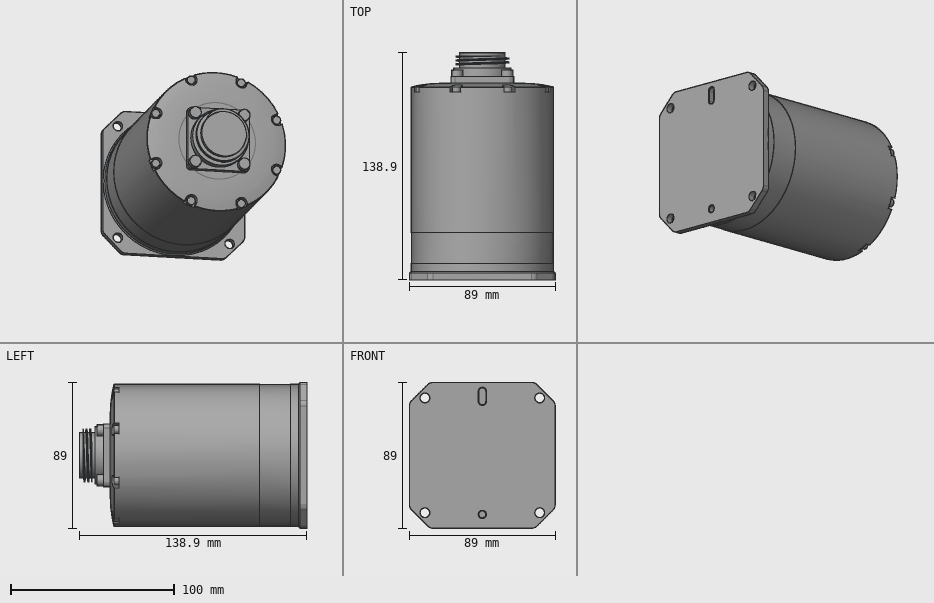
import cadquery as cq
OVERALL_LENGTH = 138.85

FLANGE_SIDE = 89.0
FLANGE_THICKNESS = 4.5
CORNER_CHAMFER = 12.5
CORNER_RADIUS = 4.5
BOLT_SPACING = 70.0
BOLT_HOLE_DIAMETER = 5.8

LOCATOR_OFFSET = 36.0
LOCATOR_WIDTH = 4.2
SLOT_LENGTH = 10.3
LOCATOR_DEPTH = 4.0
LOCATOR_CHAMFER = 0.4

BODY_RADIUS = 43.5
BASE_BEVEL = 0.8
RECESS_DEPTH = 0.2
RECESS_START = 10.3
RECESS_END = 29.0

CAP_RIM_Y = 117.6
CAP_RIM_CHAMFER = 0.3
CAP_DOME_MID_RADIUS = 38.3
CAP_DOME_MID_Y = 118.95
CAP_FLAT_RADIUS = 24.0
CAP_TOP_Y = 120.1

CAP_SCREW_COUNT = 8
CAP_SCREW_CIRCLE_RADIUS = 41.0
CAP_POCKET_WIDTH = 7.0
CAP_POCKET_FLOOR_Y = 114.8
CAP_SCREW_HEAD_DIAMETER = 5.0
CAP_SCREW_HEAD_HEIGHT = 3.0

CONNECTOR_SIDE = 38.4
CONNECTOR_PLATE_THICKNESS = 4.0
CONNECTOR_CORNER_RADIUS = 2.4
CONNECTOR_SCREW_SPACING = 30.6
CONNECTOR_HEAD_DIAMETER = 7.0
CONNECTOR_HEAD_HEIGHT = 4.0
SHOULDER_DIAMETER = 35.0
SHOULDER_HEIGHT = 5.3
BARREL_RADIUS = 13.95

THREAD_RADIUS = 16.2
THREAD_PITCH = 2.35
THREAD_TURNS = 3.25
THREAD_TIP_GAP = 2.1
THREAD_LENGTH = 5.6
THREAD_LEAD_OUT = 1.95
THREAD_ROOT_WIDTH = 1.1
THREAD_CREST_WIDTH = 0.6
THREAD_OVERLAP = 0.3

CONNECTOR_PLATE_TOP_Y = CAP_TOP_Y + CONNECTOR_PLATE_THICKNESS


def plane_at(y):
    """XZ plane at the given Y with its normal along +Y and local y along -Z."""
    return cq.Workplane(cq.Plane(origin=(0, y, 0), xDir=(1, 0, 0), normal=(0, 1, 0)))


def cylinder(radius, start_y, end_y, x=0.0, z=0.0):
    """Cylinder along Y."""
    return plane_at(start_y).center(x, -z).circle(radius).extrude(end_y - start_y)


def mounting_flange():
    flange = plane_at(0).rect(FLANGE_SIDE, FLANGE_SIDE).extrude(FLANGE_THICKNESS)
    flange = flange.edges("|Y").chamfer(CORNER_CHAMFER)
    flange = flange.edges("|Y").fillet(CORNER_RADIUS)
    holes = (
        plane_at(0)
        .rect(BOLT_SPACING, BOLT_SPACING, forConstruction=True)
        .vertices()
        .circle(BOLT_HOLE_DIAMETER / 2)
        .extrude(FLANGE_THICKNESS)
    )
    return flange.cut(holes)


def housing():
    recess_radius = BODY_RADIUS - RECESS_DEPTH
    return (
        cq.Workplane("XY")
        .lineTo(BODY_RADIUS, 0)
        .lineTo(BODY_RADIUS + BASE_BEVEL, FLANGE_THICKNESS)
        .lineTo(BODY_RADIUS, FLANGE_THICKNESS + BASE_BEVEL)
        .lineTo(BODY_RADIUS, RECESS_START)
        .lineTo(recess_radius, RECESS_START)
        .lineTo(recess_radius, RECESS_END)
        .lineTo(BODY_RADIUS, RECESS_END)
        .lineTo(BODY_RADIUS, CAP_RIM_Y)
        .lineTo(BODY_RADIUS - CAP_RIM_CHAMFER, CAP_RIM_Y + CAP_RIM_CHAMFER)
        .threePointArc((CAP_DOME_MID_RADIUS, CAP_DOME_MID_Y), (CAP_FLAT_RADIUS, CAP_TOP_Y))
        .lineTo(0, CAP_TOP_Y)
        .close()
        .revolve(360, (0, 0, 0), (0, 1, 0))
    )


def cap_pocket():
    """Cutter for one U-shaped screw pocket, round inside and open outward along +X."""
    depth = CAP_TOP_Y - CAP_POCKET_FLOOR_Y
    slot_length = BODY_RADIUS - CAP_SCREW_CIRCLE_RADIUS + CAP_POCKET_WIDTH
    mouth = (
        plane_at(CAP_POCKET_FLOOR_Y)
        .center(CAP_SCREW_CIRCLE_RADIUS + slot_length / 2, 0)
        .rect(slot_length, CAP_POCKET_WIDTH)
        .extrude(depth)
    )
    return mouth.union(cylinder(CAP_POCKET_WIDTH / 2, CAP_POCKET_FLOOR_Y, CAP_TOP_Y, CAP_SCREW_CIRCLE_RADIUS))


def add_cap_screws(part):
    pocket = cap_pocket()
    head_top_y = CAP_POCKET_FLOOR_Y + CAP_SCREW_HEAD_HEIGHT
    head = cylinder(CAP_SCREW_HEAD_DIAMETER / 2, CAP_POCKET_FLOOR_Y, head_top_y, CAP_SCREW_CIRCLE_RADIUS)
    for index in range(CAP_SCREW_COUNT):
        angle = 360 * (index + 0.5) / CAP_SCREW_COUNT
        part = part.cut(pocket.rotate((0, 0, 0), (0, 1, 0), angle))
        part = part.union(head.rotate((0, 0, 0), (0, 1, 0), angle))
    return part


def coupling_thread():
    """Right-handed helical rib, built along Z from its base and turned onto the barrel."""
    height = THREAD_PITCH * THREAD_TURNS
    root_radius = BARREL_RADIUS - THREAD_OVERLAP
    path = cq.Workplane(cq.Wire.makeHelix(THREAD_PITCH, height, BARREL_RADIUS))
    section = [
        (root_radius, -THREAD_ROOT_WIDTH / 2),
        (THREAD_RADIUS, -THREAD_CREST_WIDTH / 2),
        (THREAD_RADIUS, THREAD_CREST_WIDTH / 2),
        (root_radius, THREAD_ROOT_WIDTH / 2),
    ]
    rib = cq.Workplane("XZ").polyline(section).close().sweep(path, isFrenet=True)
    end_y = OVERALL_LENGTH - THREAD_TIP_GAP
    rib = rib.rotate((0, 0, 0), (0, 0, 1), 90).rotate((0, 0, 0), (1, 0, 0), -90)
    rib = rib.translate((0, end_y + THREAD_LEAD_OUT - height, 0))
    return rib.intersect(cylinder(SHOULDER_DIAMETER / 2, end_y - THREAD_LENGTH, end_y))


def connector():
    plate = plane_at(CAP_TOP_Y).rect(CONNECTOR_SIDE, CONNECTOR_SIDE).extrude(CONNECTOR_PLATE_THICKNESS)
    plate = plate.edges("|Y").fillet(CONNECTOR_CORNER_RADIUS)
    heads = (
        plane_at(CONNECTOR_PLATE_TOP_Y)
        .rect(CONNECTOR_SCREW_SPACING, CONNECTOR_SCREW_SPACING, forConstruction=True)
        .vertices()
        .circle(CONNECTOR_HEAD_DIAMETER / 2)
        .extrude(CONNECTOR_HEAD_HEIGHT)
    )
    shoulder_top_y = CONNECTOR_PLATE_TOP_Y + SHOULDER_HEIGHT
    shoulder = cylinder(SHOULDER_DIAMETER / 2, CONNECTOR_PLATE_TOP_Y, shoulder_top_y)
    barrel = cylinder(BARREL_RADIUS, shoulder_top_y, OVERALL_LENGTH).union(coupling_thread())
    return plate.union(heads).union(shoulder).union(barrel)


def locators():
    """Chamfered slot and hole cutters for the mounting face."""
    slot = plane_at(0).center(0, -LOCATOR_OFFSET).slot2D(SLOT_LENGTH, LOCATOR_WIDTH, 90)
    hole = plane_at(0).center(0, LOCATOR_OFFSET).circle(LOCATOR_WIDTH / 2)
    slot_rim = plane_at(0).center(0, -LOCATOR_OFFSET).slot2D(
        SLOT_LENGTH + 2 * LOCATOR_CHAMFER, LOCATOR_WIDTH + 2 * LOCATOR_CHAMFER, 90
    )
    hole_rim = plane_at(0).center(0, LOCATOR_OFFSET).circle(LOCATOR_WIDTH / 2 + LOCATOR_CHAMFER)
    cutter = slot.extrude(LOCATOR_DEPTH).union(hole.extrude(LOCATOR_DEPTH))
    for rim in (slot_rim, hole_rim):
        cutter = cutter.union(rim.extrude(LOCATOR_CHAMFER, taper=45))
    return cutter


result = mounting_flange().union(housing())
result = add_cap_screws(result)
result = result.union(connector()).cut(locators())